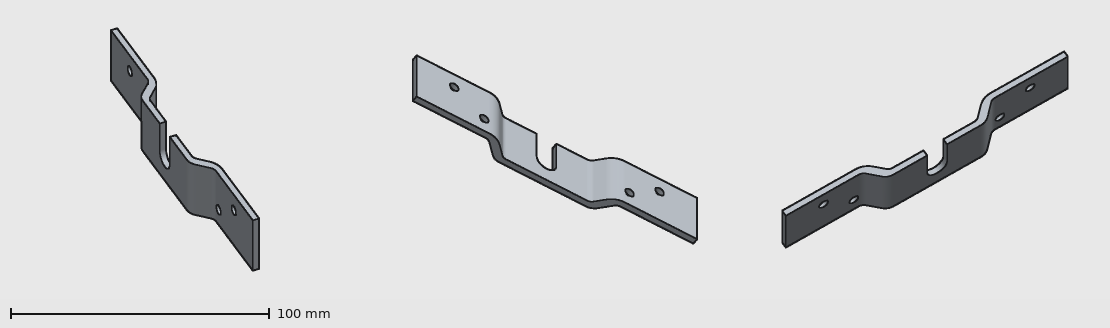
import cadquery as cq
import math

length = 130.0
depth = 10.0
height = 25.0
thickness = 2.7

wall_angle = 45.0
front_wall_x = 22.6
back_wall_x = 20.2

front_web_radius = 6.0
front_flange_radius = 3.5
back_web_radius = 3.2
back_flange_radius = 9.1

hole_diameter = 4.0
outer_hole_x, outer_hole_z = 47.6, 17.3
inner_hole_x, inner_hole_z = 33.7, 7.4
slot_width = 9.1
slot_bottom_z = 6.9

offset = depth - thickness
wall_run = offset / math.tan(math.radians(wall_angle))
front_web_corner = (front_wall_x, 0)
front_flange_corner = (front_wall_x + wall_run, offset)
back_web_corner = (back_wall_x, thickness)
back_flange_corner = (back_wall_x + wall_run, depth)

bends = [
    (front_web_corner, front_web_radius),
    (front_flange_corner, front_flange_radius),
    (back_web_corner, back_web_radius),
    (back_flange_corner, back_flange_radius),
]


def make_half_strip():
    """Right half of the bent strip, extruded upward from Z = 0."""
    outline = [
        (0, 0),
        front_web_corner,
        front_flange_corner,
        (length / 2, offset),
        (length / 2, depth),
        back_flange_corner,
        back_web_corner,
        (0, thickness),
    ]
    half = cq.Workplane("XY").polyline(outline).close().extrude(height)
    for (x, y), radius in bends:
        corner_edge = cq.selectors.NearestToPointSelector((x, y, height / 2))
        half = half.edges("|Z").edges(corner_edge).fillet(radius)
    return half


def make_holes():
    centers = [
        (side * x, z)
        for side in (-1, 1)
        for x, z in ((outer_hole_x, outer_hole_z), (inner_hole_x, inner_hole_z))
    ]
    return cq.Workplane("XZ").pushPoints(centers).circle(hole_diameter / 2).extrude(-depth)


def make_slot():
    """Round-bottomed slot open at the top edge of the web."""
    radius = slot_width / 2
    return (
        cq.Workplane("XZ")
        .moveTo(-radius, height)
        .lineTo(-radius, slot_bottom_z + radius)
        .threePointArc((0, slot_bottom_z), (radius, slot_bottom_z + radius))
        .lineTo(radius, height)
        .close()
        .extrude(-depth)
    )


half_strip = make_half_strip()
strip = half_strip.union(half_strip.mirror("YZ")).clean()
result = strip.cut(make_holes()).cut(make_slot())